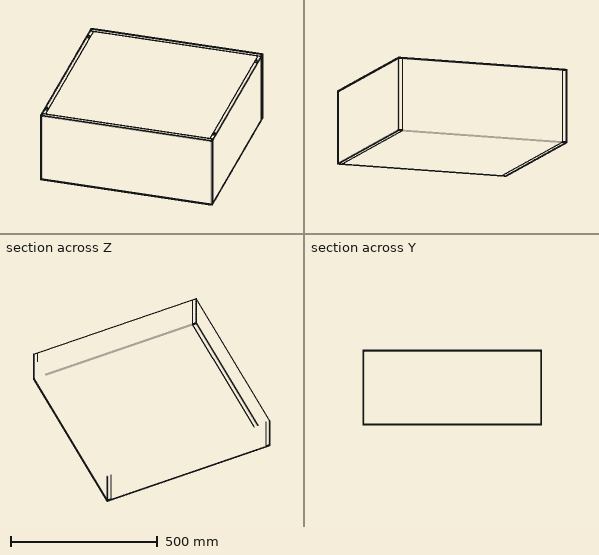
import cadquery as cq

width = 609.6
depth = 609.6
height = 255.45

sheet = 1.45
bend_outer = 2.5
bend_inner = bend_outer - sheet
wrapper_flange = 12.7
end_flange = 15.0

keyhole_pitch_y = 508.0
keyhole_shift_y = 1.75
keyhole_edge_distance = 7.3
keyhole_head_diameter = 10.5
keyhole_slot_width = 3.8
keyhole_drop = 7.5

half_width = width / 2
half_depth = depth / 2
shell_height = height - sheet


def box(x_limits, y_limits, z_limits):
    """Axis-aligned block between pairs of limits."""
    low, high = zip(x_limits, y_limits, z_limits)
    size = [b - a for a, b in zip(low, high)]
    return cq.Workplane("XY").box(*size, centered=False).translate(low)


def make_wrapper():
    """Floor and both X walls bent from one sheet, with flanges turned in under the mounting plate."""
    full_y = (-half_depth, half_depth)
    inner_x = half_width - sheet
    outside = box((-half_width, half_width), full_y, (0, shell_height)).edges("|Y").fillet(bend_outer)
    inside = box((-inner_x, inner_x), full_y, (sheet, shell_height - sheet)).edges("|Y").fillet(bend_inner)
    top_band = (shell_height - bend_outer, shell_height)

    opening_x = half_width - wrapper_flange
    opening = box((-opening_x, opening_x), full_y, top_band)
    wrapper = outside.cut(inside).cut(opening)

    notch_x = half_width - bend_outer
    notch_start = half_depth - end_flange
    for notch_y in ((-half_depth, -notch_start), (notch_start, half_depth)):
        wrapper = wrapper.cut(box((-notch_x, notch_x), notch_y, top_band))
    return wrapper


def make_keyhole(x, slot_y):
    """Cutter for one keyhole: narrow slot on the +Y side of a round entry for the screw head."""
    head_y = slot_y - keyhole_drop
    head = cq.Workplane("XY").center(x, head_y).circle(keyhole_head_diameter / 2)
    slot_end = cq.Workplane("XY").center(x, slot_y).circle(keyhole_slot_width / 2)
    slot = cq.Workplane("XY").center(x, slot_y - keyhole_drop / 2).rect(keyhole_slot_width, keyhole_drop)
    cutter = head.extrude(sheet).union(slot_end.extrude(sheet)).union(slot.extrude(sheet))
    return cutter.translate((0, 0, shell_height))


def make_mounting_plate():
    """Flat plate over the top of the shell with a keyhole near each corner."""
    plate = box((-half_width, half_width), (-half_depth, half_depth), (shell_height, height))
    keyhole_x = half_width - keyhole_edge_distance
    for x in (-keyhole_x, keyhole_x):
        for station_y in (-keyhole_pitch_y / 2, keyhole_pitch_y / 2):
            plate = plate.cut(make_keyhole(x, station_y + keyhole_shift_y))
    return plate


def make_end_panel():
    """End panel at -Y: a face with four flanges bent inwards and open corners."""
    panel_x = half_width - sheet
    panel_z = (sheet, shell_height)
    face_y = -half_depth
    outside = box((-panel_x, panel_x), (face_y, face_y + end_flange), panel_z)
    outside = outside.faces("<Y").edges().fillet(bend_outer)
    hollow_x = panel_x - sheet
    hollow_z = (panel_z[0] + sheet, panel_z[1] - sheet)
    hollow = box((-hollow_x, hollow_x), (face_y + sheet, face_y + end_flange), hollow_z)
    panel = outside.cut(hollow.faces("<Y").edges().fillet(bend_inner))

    for x_limits in ((-panel_x, -panel_x + bend_outer), (panel_x - bend_outer, panel_x)):
        for z_limits in ((panel_z[0], panel_z[0] + bend_outer), (panel_z[1] - bend_outer, panel_z[1])):
            panel = panel.cut(box(x_limits, (face_y, face_y + end_flange), z_limits))
    return panel


wrapper = make_wrapper()
mounting_plate = make_mounting_plate()
front_panel = make_end_panel()
rear_panel = front_panel.mirror("XZ")

result = cq.Compound.makeCompound(
    [wrapper.val(), mounting_plate.val(), front_panel.val(), rear_panel.val()]
)